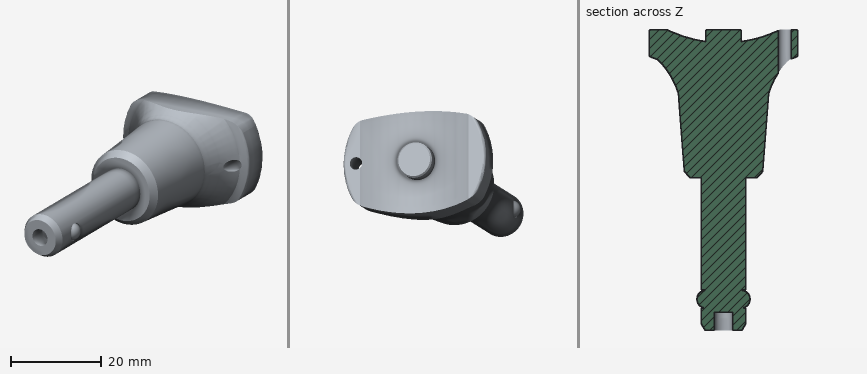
import cadquery as cq
import math

total_length = 66.9

handle_width = 33.2
handle_height = 23.0
rim_radius = handle_width / 2
long_side_radius = 43.5
corner_radius = 4.7
rim_fillet = 0.55
rim_slope_angle = math.radians(21)
flange_station = 6.15
horn_radius = 14.65
neck_radius = 10.1
neck_station = 14.2
flare_radius = 17.05
grip_end_radius = 8.75
grip_chamfer_width = 1.35
grip_chamfer_length = 1.4
handle_length = 33.0

saddle_half_width = 12.65
saddle_depth = 2.95

lanyard_diameter = 2.8
lanyard_offset = 13.6

button_diameter = 8.0
button_chamfer = 0.35
button_seat = 6.7

pin_diameter = 10.0
tip_chamfer_width = 0.9
tip_chamfer_length = 1.5
ball_diameter = 4.0
ball_station = 59.95
ball_reach = 5.95
ball_offset = ball_reach - ball_diameter / 2
recess_diameter = 3.95
recess_depth = 4.0


def turned_body():
    """Handle body as a full solid of revolution about Y."""
    fillet_center_x = rim_radius - rim_fillet
    diagonal_reach = rim_fillet * math.sqrt(0.5)

    lower_end_x = fillet_center_x + rim_fillet * math.sin(rim_slope_angle)
    lower_center_y = -flange_station + rim_fillet * math.cos(rim_slope_angle)
    middle_angle = (math.pi / 2 - rim_slope_angle) / 2
    lower_middle = (
        fillet_center_x + rim_fillet * math.cos(middle_angle),
        lower_center_y - rim_fillet * math.sin(middle_angle),
    )
    horn_station = flange_station + (lower_end_x - horn_radius) * math.tan(rim_slope_angle)
    chamfer_station = handle_length - grip_chamfer_length

    profile = (
        cq.Workplane("XY")
        .lineTo(fillet_center_x, 0)
        .threePointArc(
            (fillet_center_x + diagonal_reach, diagonal_reach - rim_fillet),
            (rim_radius, -rim_fillet),
        )
        .lineTo(rim_radius, lower_center_y)
        .threePointArc(lower_middle, (lower_end_x, -flange_station))
        .lineTo(horn_radius, -horn_station)
        .radiusArc((neck_radius, -neck_station), -flare_radius)
        .lineTo(grip_end_radius, -chamfer_station)
        .lineTo(grip_end_radius - grip_chamfer_width, -handle_length)
        .lineTo(0, -handle_length)
        .close()
    )
    return profile.revolve(360, (0, 0, 0), (0, 1, 0))


def outline_prism():
    """Handle outline: two shallow long arcs and two end arcs with rounded corners."""
    long_center = handle_height / 2 - long_side_radius

    corner_z = (rim_radius**2 - long_side_radius**2 + long_center**2) / (2 * long_center)
    corner_x = math.sqrt(rim_radius**2 - corner_z**2)

    return (
        cq.Workplane("XZ")
        .moveTo(-corner_x, corner_z)
        .threePointArc((0, handle_height / 2), (corner_x, corner_z))
        .threePointArc((rim_radius, 0), (corner_x, -corner_z))
        .threePointArc((0, -handle_height / 2), (-corner_x, -corner_z))
        .threePointArc((-rim_radius, 0), (-corner_x, corner_z))
        .close()
        .extrude(handle_length)
        .edges("|Y")
        .fillet(corner_radius)
    )


def saddle_cutter():
    """Segment of a cylinder along Z that hollows the back of the handle."""
    return (
        cq.Workplane("XY")
        .moveTo(-saddle_half_width, 0)
        .threePointArc((0, -saddle_depth), (saddle_half_width, 0))
        .close()
        .extrude(handle_height, both=True)
    )


def lanyard_cutter():
    """Round hole along Y through one ear of the handle."""
    return (
        cq.Workplane("XZ")
        .center(lanyard_offset, 0)
        .circle(lanyard_diameter / 2)
        .extrude(handle_length)
    )


def button():
    """Release button, flush with the tips of the ears."""
    return (
        cq.Workplane("XZ")
        .circle(button_diameter / 2)
        .extrude(button_seat)
        .faces(">Y")
        .chamfer(button_chamfer)
    )


def pin():
    """Shank from the handle to the tip, with a tapered lead and an end recess."""
    shank = (
        cq.Workplane("XZ", origin=(0, -handle_length, 0))
        .circle(pin_diameter / 2)
        .extrude(total_length - handle_length)
        .faces("<Y")
        .chamfer(tip_chamfer_length, tip_chamfer_width)
    )
    recess = (
        cq.Workplane("XZ", origin=(0, recess_depth - total_length, 0))
        .circle(recess_diameter / 2)
        .extrude(recess_depth)
    )
    return shank.cut(recess)


def ball_sockets():
    """Round pockets from the surface of the pin down to the widest section of each ball."""
    sockets = cq.Workplane("XY")
    for side in (-1, 1):
        socket = (
            cq.Workplane("YZ", origin=(side * ball_offset, -ball_station, 0))
            .circle(ball_diameter / 2)
            .extrude(side * (ball_reach - ball_offset))
        )
        sockets = sockets.add(socket)
    return sockets.combine()


def locking_balls():
    """Two balls half sunk into opposite sides of the pin."""
    return (
        cq.Workplane("XY")
        .pushPoints([(-ball_offset, -ball_station), (ball_offset, -ball_station)])
        .sphere(ball_diameter / 2)
    )


handle = turned_body().intersect(outline_prism())
handle = handle.cut(saddle_cutter()).cut(lanyard_cutter())
loaded_pin = pin().cut(ball_sockets()).union(locking_balls())
result = handle.union(button()).union(loaded_pin)